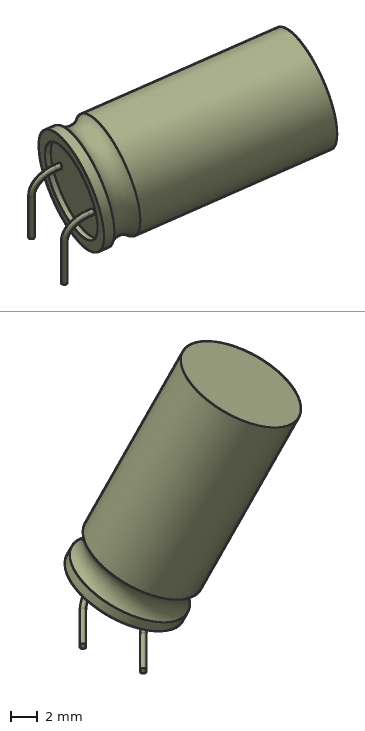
import cadquery as cq

can_diameter = 10.0
can_radius = can_diameter / 2
overall_length = 22.25

groove_width = 2.22
groove_depth = 0.5
front_rim_width = 0.9

seal_radius = 4.0
seal_recess = 0.5
seal_thickness = 0.5

lead_diameter = 0.5
lead_radius = lead_diameter / 2
lead_pitch = 5.0
bend_radius = 2.0
lead_bottom_z = -6.99

can_length = overall_length - bend_radius - lead_radius
front_y = 0.0
back_y = front_y + can_length
seal_front_y = front_y + seal_recess
seal_back_y = seal_front_y + seal_thickness
groove_start_y = front_y + front_rim_width
groove_end_y = groove_start_y + groove_width
groove_middle_y = (groove_start_y + groove_end_y) / 2
lead_x_positions = [-lead_pitch / 2, lead_pitch / 2]


def cylinder_along_y(radius, start_y, end_y):
    """Cylinder on the Y axis between two Y positions."""
    solid = cq.Solid.makeCylinder(
        radius, end_y - start_y, cq.Vector(0, start_y, 0), cq.Vector(0, 1, 0)
    )
    return cq.Workplane(obj=solid)


def make_lead(x):
    """Wire that leaves the seal along -Y and bends down to -Z."""
    straight_out = cq.Solid.makeCylinder(
        lead_radius, seal_recess, cq.Vector(x, seal_front_y, 0), cq.Vector(0, -1, 0)
    )
    bend = (
        cq.Workplane("XZ", origin=(x, front_y, 0))
        .circle(lead_radius)
        .revolve(90, (0, -bend_radius, 0), (1, -bend_radius, 0))
    )
    straight_down = cq.Solid.makeCylinder(
        lead_radius,
        -bend_radius - lead_bottom_z,
        cq.Vector(x, front_y - bend_radius, -bend_radius),
        cq.Vector(0, 0, -1),
    )
    return bend.union(cq.Workplane(obj=straight_out)).union(cq.Workplane(obj=straight_down))


def make_can():
    """Grooved can with a blind pocket that holds the seal."""
    outer = (
        cq.Workplane("XY")
        .moveTo(0, front_y)
        .lineTo(can_radius, front_y)
        .lineTo(can_radius, groove_start_y)
        .threePointArc((can_radius - groove_depth, groove_middle_y), (can_radius, groove_end_y))
        .lineTo(can_radius, back_y)
        .lineTo(0, back_y)
        .close()
        .revolve(360, (0, 0, 0), (0, 1, 0))
    )
    return outer.cut(cylinder_along_y(seal_radius, front_y, seal_back_y))


can = make_can()
seal = cylinder_along_y(seal_radius, seal_front_y, seal_back_y)
leads = [make_lead(x) for x in lead_x_positions]

result = cq.Compound.makeCompound([can.val(), seal.val(), *[lead.val() for lead in leads]])